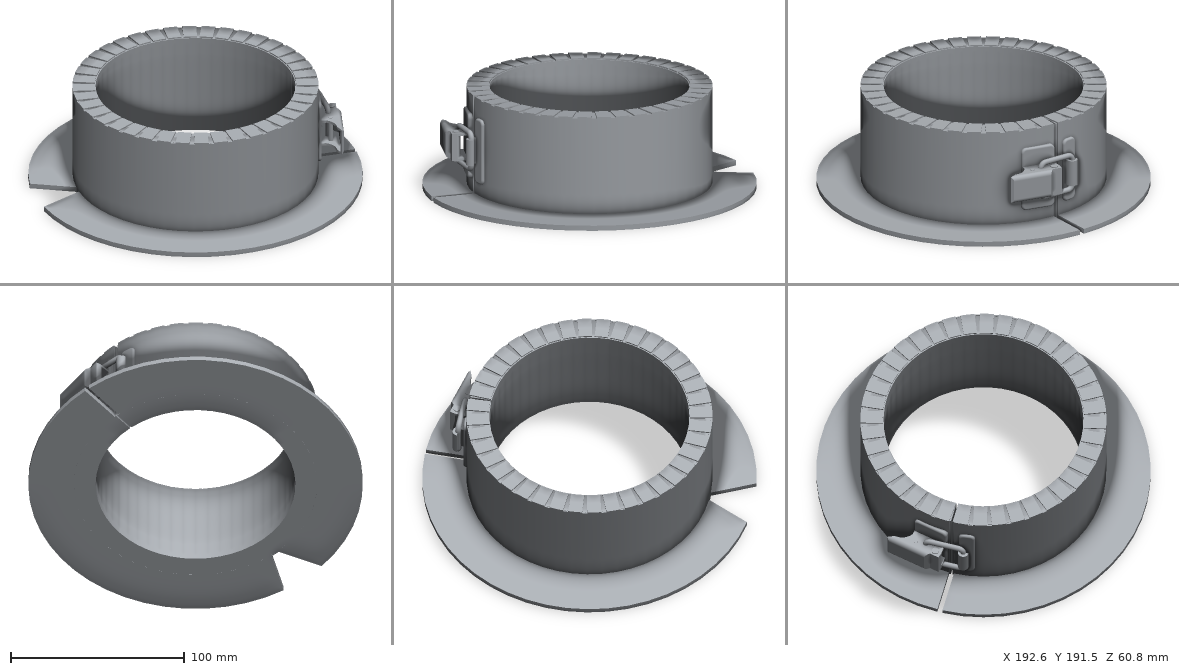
import cadquery as cq
import math

CUT_MARGIN = 1.0

BODY_HEIGHT = 60.0
SHEET = 0.8
LAYER_COUNT = 5
LAYER_THICKNESS = 2.5
BORE_RADIUS = 57.5
LINING_RADIUS = BORE_RADIUS + LAYER_COUNT * LAYER_THICKNESS
WALL_RADIUS = LINING_RADIUS + SHEET
TOTAL_HEIGHT = BODY_HEIGHT + SHEET

FLANGE_RADIUS = 96.28
FLANGE_THICKNESS = 3.0
SLOT_WIDTH = 3.0
LAYER_SLIT = 1.0

NOTCH_INNER_HALF = 2.7
NOTCH_OUTER_HALF = 14.4

TAB_COUNT = 40
TAB_INNER_RADIUS = 58.0
TAB_GAP_OUTER = 3.0
TAB_GAP_INNER = 1.4

LATCH_Z = BODY_HEIGHT / 2
PLATE_HALF_HEIGHT = 19.3
PLATE_CORNER = 3.0
PLATE_EDGE_ROUND = 1.2
PLATE_RISE = 1.6
PLATE_DEPTH = 3.0

LEVER_ANGLE = -12.7
LEVER_PLATE_SPAN = (-13.7, 7.0)
LEVER_HALF_WIDTH = 8.2
LEVER_SHEET = 1.5
LEVER_ROUND = 2.5

LEVER_BASE_HEIGHT = 1.0
LEVER_FRONT_FOOT = -13.0
LEVER_NOSE = (-14.0, 8.0)
DECK_HEIGHT = 11.0
DECK_START = -13.8
DECK_END = -8.3
GRIP_HEIGHT = 13.7
GRIP_START = -6.0
GRIP_END = 17.2
GRIP_TIP = (18.7, 12.4)
GRIP_UNDERSIDE = (15.1, 10.1)
THROAT_START = (11.4, 9.3)
THROAT_MIDDLE = (8.3, 6.9)
THROAT_END = (6.6, 4.2)

PIVOT_PLACE = (-10.3, 8.1)
PIVOT_DIAMETER = 4.1
PIVOT_HALF_LENGTH = 8.8
RIVET_PLACE = (2.9, 7.05)
RIVET_DIAMETER = 2.8
RIVET_HEAD = 0.2
RIVET_HALF_LENGTH = LEVER_HALF_WIDTH + RIVET_HEAD

WIRE_DIAMETER = 3.2
BAIL_LEFT = -8.3
BAIL_RIGHT = 14.1
BAIL_Y = 75.5
BAIL_HALF_HEIGHT = 10.7
BAIL_CORNER = 3.4

CATCH_ANGLE = 7.4
CATCH_PLATE_SPAN = (-4.6, 4.6)
HOOK_SHEET = 1.5
HOOK_HALF_HEIGHT = 7.7
HOOK_RADIUS = WIRE_DIAMETER / 2 + HOOK_SHEET


def cylinder(radius, z_bottom, height):
    return cq.Workplane("XY").workplane(offset=z_bottom).circle(radius).extrude(height)


def tube(outer, inner, z_bottom, height):
    return cq.Workplane("XY").workplane(offset=z_bottom).circle(outer).circle(inner).extrude(height)


def opening(width, height):
    """Block along +Y that opens a ring from the axis outwards."""
    length = FLANGE_RADIUS + CUT_MARGIN
    return cq.Workplane("XY").box(width, length, height, centered=(True, False, False))


def make_jacket():
    """Wall with its bottom flange and the ring of tabs bent over the lining."""
    wall = tube(WALL_RADIUS, LINING_RADIUS, 0, TOTAL_HEIGHT)
    flange = tube(FLANGE_RADIUS, LINING_RADIUS, 0, FLANGE_THICKNESS)
    flange = flange.cut(make_notch())
    tabs = tube(WALL_RADIUS, TAB_INNER_RADIUS, BODY_HEIGHT, SHEET)
    jacket = wall.union(flange).union(tabs)
    gap = make_tab_gap()
    for index in range(TAB_COUNT):
        jacket = jacket.cut(gap.rotate((0, 0, 0), (0, 0, 1), index * 360 / TAB_COUNT))
    return jacket.cut(opening(SLOT_WIDTH, BODY_HEIGHT))


def make_notch():
    """Wedge that widens from the wall to the rim of the flange."""
    rim_y = math.sqrt(FLANGE_RADIUS**2 - NOTCH_OUTER_HALF**2)
    slope = (NOTCH_OUTER_HALF - NOTCH_INNER_HALF) / (rim_y - WALL_RADIUS)
    far_y = FLANGE_RADIUS + CUT_MARGIN
    far_half = NOTCH_OUTER_HALF + slope * (far_y - rim_y)
    wedge = (
        cq.Workplane("XY")
        .polyline([
            (-NOTCH_INNER_HALF, -WALL_RADIUS),
            (NOTCH_INNER_HALF, -WALL_RADIUS),
            (far_half, -far_y),
            (-far_half, -far_y),
        ])
        .close()
        .extrude(FLANGE_THICKNESS)
    )
    mouth = (
        cq.Workplane("XY")
        .center(0, -WALL_RADIUS)
        .rect(2 * NOTCH_INNER_HALF, 2 * SHEET)
        .extrude(FLANGE_THICKNESS)
    )
    return wedge.union(mouth).cut(cylinder(WALL_RADIUS, 0, FLANGE_THICKNESS))


def make_tab_gap():
    """Tapered gap between two tabs, on the +Y side."""
    taper = (TAB_GAP_OUTER - TAB_GAP_INNER) / (WALL_RADIUS - TAB_INNER_RADIUS)
    near_y = TAB_INNER_RADIUS - CUT_MARGIN
    far_y = WALL_RADIUS + CUT_MARGIN
    near_half = (TAB_GAP_INNER - taper * CUT_MARGIN) / 2
    far_half = (TAB_GAP_OUTER + taper * CUT_MARGIN) / 2
    return (
        cq.Workplane("XY")
        .workplane(offset=BODY_HEIGHT)
        .polyline([(-near_half, near_y), (near_half, near_y), (far_half, far_y), (-far_half, far_y)])
        .close()
        .extrude(SHEET)
    )


def make_lining_layer(index):
    """One split ring of the lining, counted from the bore outwards."""
    inner = BORE_RADIUS + index * LAYER_THICKNESS
    layer = tube(inner + LAYER_THICKNESS, inner, 0, BODY_HEIGHT)
    return layer.cut(opening(LAYER_SLIT, BODY_HEIGHT))


def turn(shape, angle):
    return shape.rotate((0, 0, 0), (0, 0, 1), angle)


def make_plate(span, angle):
    """Mounting plate with rounded corners whose back follows the wall."""
    start, end = span
    plate = (
        cq.Workplane("XY")
        .box(end - start, PLATE_RISE + PLATE_DEPTH, 2 * PLATE_HALF_HEIGHT)
        .edges("|Y").fillet(PLATE_CORNER)
        .faces(">Y").edges().fillet(PLATE_EDGE_ROUND)
        .translate(((start + end) / 2, WALL_RADIUS + (PLATE_RISE - PLATE_DEPTH) / 2, 0))
    )
    plate = plate.cut(cylinder(WALL_RADIUS, -PLATE_HALF_HEIGHT, 2 * PLATE_HALF_HEIGHT))
    return turn(plate, angle)


def cross_pin(place, diameter, half_length):
    return (
        cq.Workplane("XY")
        .workplane(offset=-half_length)
        .center(place[0], WALL_RADIUS + place[1])
        .circle(diameter / 2)
        .extrude(2 * half_length)
    )


def lever_side(half_width):
    """Side outline of the lever: front deck, raised grip, and a curved throat down to the plate."""
    return (
        cq.Workplane("XY")
        .workplane(offset=-half_width)
        .center(0, WALL_RADIUS)
        .moveTo(LEVER_FRONT_FOOT, LEVER_BASE_HEIGHT)
        .lineTo(*LEVER_NOSE)
        .lineTo(DECK_START, DECK_HEIGHT)
        .lineTo(DECK_END, DECK_HEIGHT)
        .lineTo(GRIP_START, GRIP_HEIGHT)
        .lineTo(GRIP_END, GRIP_HEIGHT)
        .lineTo(*GRIP_TIP)
        .lineTo(*GRIP_UNDERSIDE)
        .lineTo(*THROAT_START)
        .threePointArc(THROAT_MIDDLE, THROAT_END)
        .lineTo(THROAT_END[0], LEVER_BASE_HEIGHT)
        .close()
        .extrude(2 * half_width)
    )


def make_lever():
    """Sheet channel, open towards the wall and at the front, with its pivot and rivet."""
    lever = lever_side(LEVER_HALF_WIDTH)
    grip_middle = (GRIP_START + GRIP_END) / 2
    for side in (-1, 1):
        grip_edge = (grip_middle, WALL_RADIUS + GRIP_HEIGHT, side * LEVER_HALF_WIDTH)
        lever = lever.edges(cq.selectors.NearestToPointSelector(grip_edge)).fillet(LEVER_ROUND)
    hollow = lever_side(LEVER_HALF_WIDTH - LEVER_SHEET).translate((0, -LEVER_SHEET, 0))
    lever = lever.cut(hollow)
    lever = lever.union(cross_pin(PIVOT_PLACE, PIVOT_DIAMETER, PIVOT_HALF_LENGTH))
    lever = lever.union(cross_pin(RIVET_PLACE, RIVET_DIAMETER, RIVET_HALF_LENGTH))
    return turn(lever, LEVER_ANGLE)


def make_bail():
    """Closed wire loop with rounded corners that joins lever and catch."""
    middle = (BAIL_LEFT + BAIL_RIGHT) / 2
    path = (
        cq.Workplane("XY")
        .box(BAIL_RIGHT - BAIL_LEFT, WIRE_DIAMETER, 2 * BAIL_HALF_HEIGHT)
        .edges("|Y").fillet(BAIL_CORNER)
        .faces(">Y").wires().val()
        .translate(cq.Vector(middle, BAIL_Y - WIRE_DIAMETER / 2, 0))
    )
    start = path.startPoint()
    section = cq.Plane(origin=start, normal=path.tangentAt(0))
    return cq.Workplane(section).circle(WIRE_DIAMETER / 2).sweep(cq.Workplane(path))


def make_hook():
    """Strip that rises from the catch plate and curls over the end of the bail."""
    foot_y = WALL_RADIUS + PLATE_RISE / 2
    wire_radius = WIRE_DIAMETER / 2
    return (
        cq.Workplane("XY")
        .workplane(offset=-HOOK_HALF_HEIGHT)
        .moveTo(BAIL_LEFT + HOOK_RADIUS, foot_y)
        .lineTo(BAIL_LEFT + HOOK_RADIUS, BAIL_Y)
        .threePointArc((BAIL_LEFT, BAIL_Y + HOOK_RADIUS), (BAIL_LEFT - HOOK_RADIUS, BAIL_Y))
        .lineTo(BAIL_LEFT - wire_radius, BAIL_Y)
        .threePointArc((BAIL_LEFT, BAIL_Y + wire_radius), (BAIL_LEFT + wire_radius, BAIL_Y))
        .lineTo(BAIL_LEFT + wire_radius, foot_y)
        .close()
        .extrude(2 * HOOK_HALF_HEIGHT)
    )


def make_latch():
    latch = make_plate(LEVER_PLATE_SPAN, LEVER_ANGLE)
    for piece in (make_lever(), make_bail(), make_hook(), make_plate(CATCH_PLATE_SPAN, CATCH_ANGLE)):
        latch = latch.union(piece)
    return latch.translate((0, 0, LATCH_Z))


jacket = make_jacket()
lining_layers = [make_lining_layer(index) for index in range(LAYER_COUNT)]
latch = make_latch()

result = cq.Compound.makeCompound(
    [jacket.solids().val(), *[layer.solids().val() for layer in lining_layers], latch.solids().val()]
)